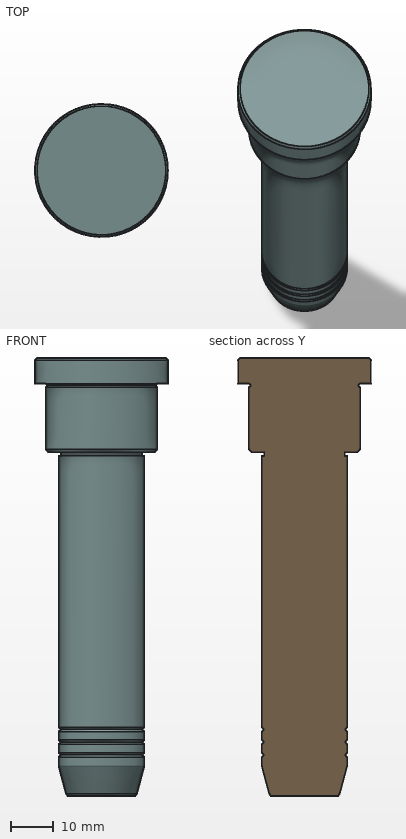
import cadquery as cq

total_length = 102.0
head_radius = 15.5
head_height = 6.0
head_chamfer = 0.5
shoulder_diameter = 26.0
shoulder_radius = shoulder_diameter / 2
shoulder_bottom = 80.0
shoulder_chamfer = 0.7
shank_radius = 10.0

undercut_depth = 0.5
undercut_height = 0.8

taper_height = 7.0
tip_radius = 8.3
tip_end_radius = 7.9
tip_chamfer_height = 0.5

groove_count = 3
groove_pitch = 3.0
lowest_groove_z = 9.6
groove_half_width = 0.5
groove_depth = 0.5


def revolved_body():
    """Revolve the stepped half-outline of the pin about Z."""
    head_bottom = total_length - head_height
    neck_radius = shank_radius - undercut_depth
    collar_radius = shoulder_radius - undercut_depth
    outline = [
        (0, 0),
        (tip_end_radius, 0),
        (tip_radius, tip_chamfer_height),
        (shank_radius, taper_height),
        (shank_radius, shoulder_bottom - undercut_height),
        (neck_radius, shoulder_bottom - undercut_height),
        (neck_radius, shoulder_bottom),
        (shoulder_radius - shoulder_chamfer, shoulder_bottom),
        (shoulder_radius, shoulder_bottom + shoulder_chamfer),
        (shoulder_radius, head_bottom - undercut_height),
        (collar_radius, head_bottom - undercut_height / 2),
        (shoulder_radius, head_bottom),
        (head_radius, head_bottom),
        (head_radius, total_length - head_chamfer),
        (head_radius - head_chamfer, total_length),
        (0, total_length),
    ]
    profile = cq.Workplane("XZ").polyline(outline).close()
    return profile.revolve(360, (0, 0, 0), (0, 1, 0))


def oil_groove(z):
    """Ring cutter with a V section pointing into the shank."""
    section = cq.Workplane("XZ").polyline([
        (shank_radius, z - groove_half_width),
        (shank_radius - groove_depth, z),
        (shank_radius, z + groove_half_width),
    ]).close()
    return section.revolve(360, (0, 0, 0), (0, 1, 0))


result = revolved_body()
for index in range(groove_count):
    result = result.cut(oil_groove(lowest_groove_z + index * groove_pitch))